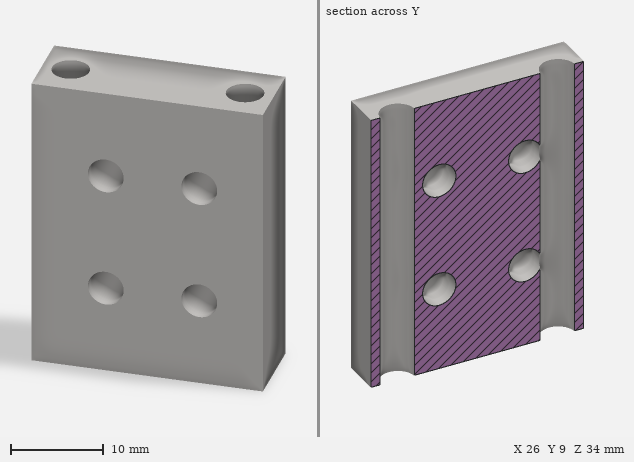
import cadquery as cq

width = 26.0
depth = 9.0
height = 34.0

cross_diameter = 4.0
cross_spacing_x = 10.5
cross_spacing_z = 13.8
cross_offset_x = 0.6

long_diameter = 4.18
long_spacing = 19.6
long_offset_y = -0.25


def make_cross_holes():
    """Rectangular pattern of cylinders through the depth."""
    return (
        cq.Workplane("XZ")
        .center(cross_offset_x, 0)
        .rarray(cross_spacing_x, cross_spacing_z, 2, 2)
        .circle(cross_diameter / 2)
        .extrude(depth / 2, both=True)
    )


def make_long_holes():
    """Pair of cylinders through the full height, one near each side."""
    return (
        cq.Workplane("XY")
        .center(0, long_offset_y)
        .pushPoints([(-long_spacing / 2, 0), (long_spacing / 2, 0)])
        .circle(long_diameter / 2)
        .extrude(height / 2, both=True)
    )


block = cq.Workplane("XY").box(width, depth, height)
result = block.cut(make_cross_holes()).cut(make_long_holes())